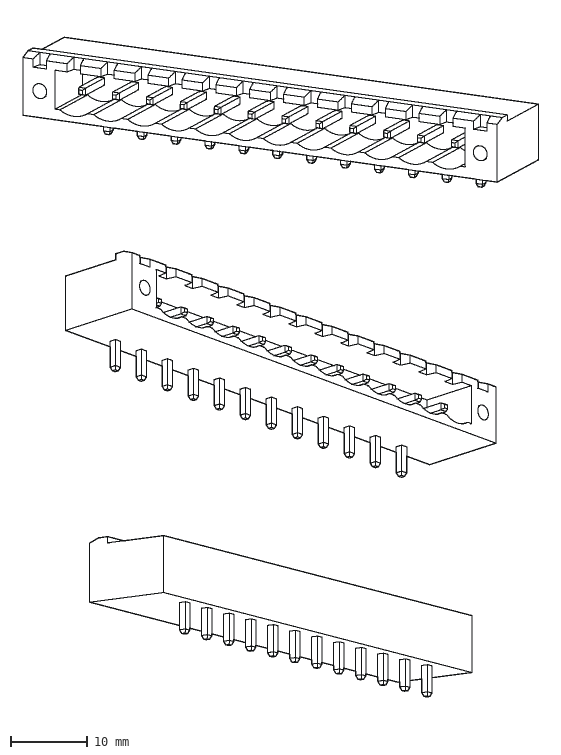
import cadquery as cq
import math

length = 70.0
depth = 12.0
overall_height = 12.6
pin_length_below = 4.1
front_height = overall_height - pin_length_below
lip_rise = 0.85
rear_height = front_height - lip_rise
lip_depth = 2.95
bevel_depth = 1.5
bevel_drop = 0.55

pin_count = 12
pitch = length / (pin_count + 2)
pin_positions = [(i - (pin_count - 1) / 2) * pitch for i in range(pin_count)]
screw_positions = [pin_positions[0] - pitch, pin_positions[-1] + pitch]

end_wall = 4.75
pocket_width = length - 2 * end_wall
pocket_depth = 8.0
pocket_floor = 1.5
pocket_roof = 6.8
scallop_width = 4.05
scallop_sag = 0.6

slot_back_width = 1.5
slot_front_width = 1.95

axis_height = 3.65
pin_size = 1.0
pin_tip_y = 1.95
pin_tip_length = 0.5
pin_tip_inset = 0.2
pin_leg_inset = 1.95
pin_leg_y = depth - pin_leg_inset
screw_hole_diameter = 2.0
screw_hole_depth = pocket_depth


def make_housing():
    """Side profile with a raised, bevelled lip along the front, extruded over the length."""
    return (
        cq.Workplane("YZ")
        .moveTo(0, 0)
        .lineTo(depth, 0)
        .lineTo(depth, rear_height)
        .lineTo(lip_depth, rear_height)
        .lineTo(lip_depth, front_height)
        .lineTo(bevel_depth, front_height)
        .lineTo(0, front_height - bevel_drop)
        .close()
        .extrude(length / 2, both=True)
    )


def make_pocket():
    """Pocket whose floor dips in a shallow arc under every contact."""
    outline = cq.Workplane("XZ").moveTo(-pocket_width / 2, pocket_floor)
    for x in pin_positions:
        outline = outline.lineTo(x - scallop_width / 2, pocket_floor).threePointArc(
            (x, pocket_floor - scallop_sag), (x + scallop_width / 2, pocket_floor)
        )
    return (
        outline.lineTo(pocket_width / 2, pocket_floor)
        .lineTo(pocket_width / 2, pocket_roof)
        .lineTo(-pocket_width / 2, pocket_roof)
        .close()
        .extrude(-pocket_depth)
    )


def make_slot(x):
    """Vertical slot, open to the front and the top, that narrows towards its back."""
    return (
        cq.Workplane("XY", origin=(x, 0, pocket_roof))
        .moveTo(-slot_front_width / 2, 0)
        .lineTo(slot_front_width / 2, 0)
        .lineTo(slot_back_width / 2, bevel_depth)
        .lineTo(-slot_back_width / 2, bevel_depth)
        .close()
        .extrude(front_height - pocket_roof)
    )


def make_screw_hole(x):
    return (
        cq.Workplane("XZ", origin=(x, 0, axis_height))
        .circle(screw_hole_diameter / 2)
        .extrude(-screw_hole_depth)
    )


def make_prong(base, reach):
    """Square bar that starts at the base workplane and ends in a tapered tip."""
    tip_angle = math.degrees(math.atan2(pin_tip_inset, pin_tip_length))
    shank_length = reach - pin_tip_length
    shank = base.rect(pin_size, pin_size).extrude(shank_length)
    tip = (
        base.workplane(offset=shank_length)
        .rect(pin_size, pin_size)
        .extrude(pin_tip_length, taper=tip_angle)
    )
    return shank.union(tip)


def make_pin(x):
    """Right-angled pin: a blade towards the mating face and a leg below the housing."""
    blade_start_y = pin_leg_y + pin_size / 2
    blade = make_prong(
        cq.Workplane("XZ", origin=(x, blade_start_y, axis_height)), blade_start_y - pin_tip_y
    )
    leg = make_prong(
        cq.Workplane("XY", origin=(x, pin_leg_y, axis_height)).transformed(rotate=(180, 0, 0)),
        axis_height + pin_length_below,
    )
    return blade.union(leg)


result = make_housing().cut(make_pocket())
for x in screw_positions + pin_positions:
    result = result.cut(make_slot(x))
for x in screw_positions:
    result = result.cut(make_screw_hole(x))
for x in pin_positions:
    result = result.union(make_pin(x))